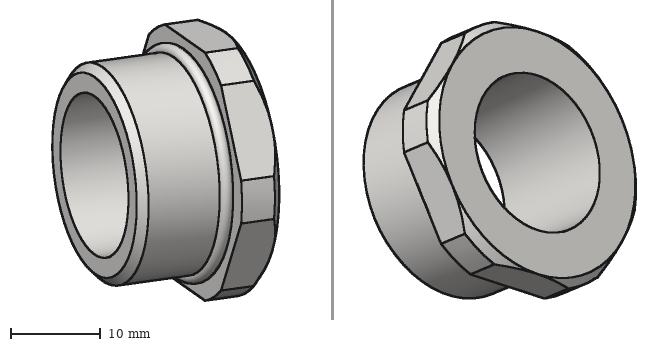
import cadquery as cq

across_flats = 29.0
corner_diameter = 31.0
head_thickness = 5.0
flat_turn = 30.0
head_chamfer = 1.0

spigot_diameter = 25.0
spigot_length = 11.0
spigot_chamfer = 1.0

ring_outer_diameter = 27.0
ring_section_radius = 0.75
ring_depth = 1.4

bore_diameter = 18.5


def turned(profile):
    """Revolve a closed profile, drawn as (Y, Z) with Z as radius, about the Y axis."""
    return profile.revolve(360, (0, 0, 0), (1, 0, 0))


def make_head():
    """Hexagon with flats facing +/-Z, its corners rounded off and its outer end chamfered."""
    hexagon = (
        cq.Workplane("XZ")
        .transformed(rotate=(0, 0, flat_turn))
        .polygon(6, across_flats, circumscribed=True)
        .extrude(-head_thickness)
    )
    corner_radius = corner_diameter / 2
    corner_limit = turned(
        cq.Workplane("YZ")
        .lineTo(0, corner_radius)
        .lineTo(head_thickness - head_chamfer, corner_radius)
        .lineTo(head_thickness, corner_radius - head_chamfer)
        .lineTo(head_thickness, 0)
        .close()
    )
    return hexagon.intersect(corner_limit)


def make_spigot():
    """Plain cylinder below the head with a chamfered free end."""
    spigot_radius = spigot_diameter / 2
    return turned(
        cq.Workplane("YZ")
        .lineTo(0, spigot_radius)
        .lineTo(spigot_chamfer - spigot_length, spigot_radius)
        .lineTo(-spigot_length, spigot_radius - spigot_chamfer)
        .lineTo(-spigot_length, 0)
        .close()
    )


def make_ring():
    """Round-section ring whose inner side is buried in the spigot and whose back is buried in the head."""
    center_y = ring_section_radius - ring_depth
    center_radius = ring_outer_diameter / 2 - ring_section_radius
    return turned(cq.Workplane("YZ").moveTo(center_y, center_radius).circle(ring_section_radius))


def make_bore():
    """Cylinder that opens the part from end to end."""
    return (
        cq.Workplane("XZ", origin=(0, head_thickness, 0))
        .circle(bore_diameter / 2)
        .extrude(head_thickness + spigot_length)
    )


result = make_head().union(make_spigot()).union(make_ring()).cut(make_bore())